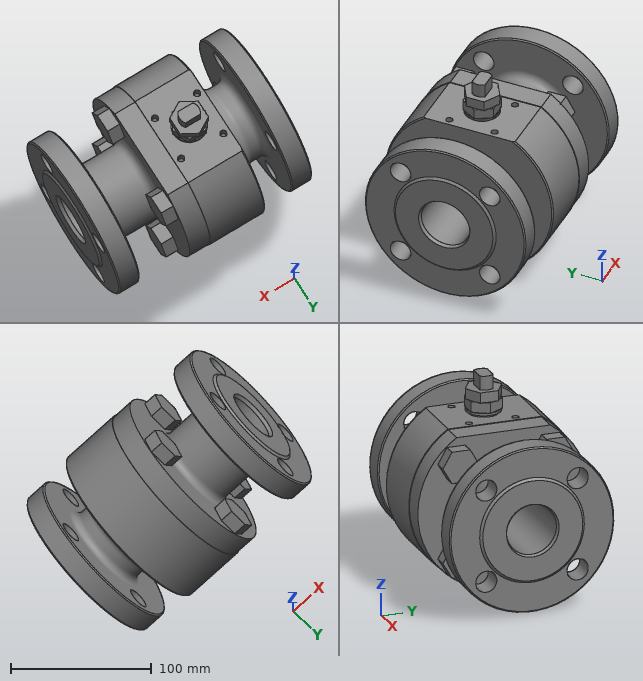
import cadquery as cq
import math


length = 165.0
body_start = 42.9
joint_x = 89.0
cap_end = 106.0

bore_diameter = 38.0
bore_mouth_diameter = 40.0
bore_mouth_depth = 2.8
pipe_diameter = 60.0

flange_diameter = 125.0
flange_thickness = 17.3
flange_chamfer = 1.0
raised_face_height = 1.6
raised_face_base_diameter = 79.5
raised_face_diameter = 75.9
flange_hole_diameter = 16.0
flange_hole_spacing = 69.5
flange_fillet = 5.6
flange_back = raised_face_height + flange_thickness

body_diameter = 131.0
body_chamfer = 1.0
body_flat_height = 55.0
cap_diameter = 130.0
cap_flat_height = 54.5
shoulder_fillet = 6.0

flare_start = 31.2
flare_angle = math.radians(30)

hex_across_flats = 24.0
hex_across_corners = hex_across_flats / math.cos(math.pi / 6)
bolt_spacing = 72.0
bolt_head_height = 10.0

stem_x = 65.8
neck_diameter = 22.0
neck_height = 1.8
washer_diameter = 26.0
washer_height = 1.8
nut_height = 8.0
stem_diameter = 16.0
stem_across_flats = 10.0
stem_top = 85.0

mount_hole_diameter = 5.0
mount_hole_spacing = 35.3
mount_hole_depth = 8.2
drill_point_angle = math.radians(118)


def square_pattern(spacing):
    """Four points at the corners of a square centred on the origin."""
    half = spacing / 2
    return [(-half, -half), (half, -half), (half, half), (-half, half)]


def revolve_about_x(outline):
    """Turn a closed outline in the XZ plane around the flow axis."""
    return outline.close().revolve(360, (0, 0, 0), (1, 0, 0))


def end_flange():
    """Inlet flange with raised face and bolt holes, its face at x = 0."""
    radius = flange_diameter / 2
    flange = revolve_about_x(
        cq.Workplane("XZ")
        .moveTo(0, 0)
        .lineTo(0, raised_face_diameter / 2)
        .lineTo(raised_face_height, raised_face_base_diameter / 2)
        .lineTo(raised_face_height, radius - flange_chamfer)
        .lineTo(raised_face_height + flange_chamfer, radius)
        .lineTo(flange_back - flange_chamfer, radius)
        .lineTo(flange_back, radius - flange_chamfer)
        .lineTo(flange_back, 0)
    )
    holes = (
        cq.Workplane("YZ")
        .pushPoints(square_pattern(flange_hole_spacing))
        .circle(flange_hole_diameter / 2)
        .extrude(flange_back)
    )
    return flange.cut(holes)


def mirror_to_outlet(part):
    """Reflect a part from the inlet end to the outlet end."""
    return part.mirror("YZ").translate((length, 0, 0))


def bore_mouth():
    """Conical widening of the bore at the inlet face."""
    return revolve_about_x(
        cq.Workplane("XZ")
        .moveTo(0, 0)
        .lineTo(0, bore_mouth_diameter / 2)
        .lineTo(bore_mouth_depth, bore_diameter / 2)
        .lineTo(bore_mouth_depth, 0)
    )


def bore():
    """Through passage with a conical mouth at each end."""
    passage = cq.Workplane("YZ").circle(bore_diameter / 2).extrude(length)
    return passage.union(bore_mouth()).union(mirror_to_outlet(bore_mouth()))


def above(height):
    """Block that removes everything higher than the given height."""
    return cq.Workplane("XY").workplane(offset=height).rect(2 * length, length).extrude(length)


def arc_point(center, radius, angle):
    """Point on a circle in the XZ plane."""
    return center[0] + radius * math.cos(angle), center[1] + radius * math.sin(angle)


def inlet_neck():
    """Pipe filleted to the flange, flaring out in a cone to the body face."""
    pipe_radius = pipe_diameter / 2
    bottom = -math.pi / 2
    cone_tangent = bottom + flare_angle

    flange_center = (flange_back + flange_fillet, pipe_radius + flange_fillet)
    bend_center = (flare_start, pipe_radius + shoulder_fillet)
    cone_start = arc_point(bend_center, shoulder_fillet, cone_tangent)

    shoulder_center_x = body_start - shoulder_fillet
    cone_end_x = shoulder_center_x + shoulder_fillet * math.cos(cone_tangent)
    cone_end_z = cone_start[1] + (cone_end_x - cone_start[0]) * math.tan(flare_angle)
    shoulder_center = (shoulder_center_x, cone_end_z - shoulder_fillet * math.sin(cone_tangent))

    return revolve_about_x(
        cq.Workplane("XZ")
        .moveTo(flange_back, 0)
        .lineTo(flange_back, flange_center[1])
        .threePointArc(
            arc_point(flange_center, flange_fillet, -3 * math.pi / 4),
            arc_point(flange_center, flange_fillet, bottom),
        )
        .lineTo(flare_start, pipe_radius)
        .threePointArc(
            arc_point(bend_center, shoulder_fillet, bottom + flare_angle / 2),
            cone_start,
        )
        .lineTo(cone_end_x, cone_end_z)
        .threePointArc(
            arc_point(shoulder_center, shoulder_fillet, cone_tangent / 2),
            arc_point(shoulder_center, shoulder_fillet, 0),
        )
        .lineTo(body_start, 0)
    )


def outlet_neck():
    """Straight pipe filleted to the cap and to the outlet flange."""
    pipe_radius = pipe_diameter / 2
    outlet_back = length - flange_back
    cap_center = (cap_end + shoulder_fillet, pipe_radius + shoulder_fillet)
    flange_center = (outlet_back - flange_fillet, pipe_radius + flange_fillet)
    return revolve_about_x(
        cq.Workplane("XZ")
        .moveTo(cap_end, 0)
        .lineTo(cap_end, cap_center[1])
        .threePointArc(
            arc_point(cap_center, shoulder_fillet, -3 * math.pi / 4),
            arc_point(cap_center, shoulder_fillet, -math.pi / 2),
        )
        .lineTo(flange_center[0], pipe_radius)
        .threePointArc(
            arc_point(flange_center, flange_fillet, -math.pi / 4),
            arc_point(flange_center, flange_fillet, 0),
        )
        .lineTo(outlet_back, 0)
    )


def stem_stack():
    """Neck, washer, two hexagons and the double-flatted stem end."""
    flat_plane = cq.Workplane("XY").workplane(offset=body_flat_height)
    neck = flat_plane.circle(neck_diameter / 2).extrude(neck_height)
    washer = neck.faces(">Z").workplane().circle(washer_diameter / 2).extrude(washer_height)
    lower_nut = washer.faces(">Z").workplane().polygon(6, hex_across_corners).extrude(nut_height)
    upper_nut = (
        lower_nut.faces(">Z").workplane()
        .transformed(rotate=(0, 0, 90))
        .polygon(6, hex_across_corners)
        .extrude(nut_height)
    )
    nut_top = body_flat_height + neck_height + washer_height + 2 * nut_height
    flats = (
        cq.Workplane("XY")
        .workplane(offset=nut_top)
        .rect(stem_diameter, stem_across_flats)
        .extrude(stem_top - nut_top)
    )
    stem_end = (
        cq.Workplane("XY")
        .workplane(offset=nut_top)
        .circle(stem_diameter / 2)
        .extrude(stem_top - nut_top)
        .intersect(flats)
    )
    return upper_nut.union(stem_end).translate((stem_x, 0, 0))


def mount_holes():
    """Four drilled holes with conical bottoms, square around the stem."""
    radius = mount_hole_diameter / 2
    point_length = radius / math.tan(drill_point_angle / 2)
    drill = (
        cq.Workplane("XZ")
        .moveTo(0, 0)
        .lineTo(radius, 0)
        .lineTo(radius, -mount_hole_depth)
        .lineTo(0, -mount_hole_depth - point_length)
        .close()
        .revolve(360, (0, 0, 0), (0, 1, 0))
    )
    holes = cq.Workplane("XY")
    for x, y in square_pattern(mount_hole_spacing):
        holes = holes.add(drill.translate((stem_x + x, y, body_flat_height)))
    return holes.combine()


def valve_body():
    """Inlet flange, flared neck, cylindrical body with top flat, and stem."""
    barrel = (
        cq.Workplane("YZ", origin=(body_start, 0, 0))
        .circle(body_diameter / 2)
        .extrude(joint_x - body_start)
        .faces("<X").edges().chamfer(body_chamfer)
        .cut(above(body_flat_height))
        .cut(mount_holes())
    )
    return barrel.union(inlet_neck()).union(end_flange()).union(stem_stack()).cut(bore())


def end_cap():
    """Bolted cap, outlet pipe and outlet flange."""
    disc = (
        cq.Workplane("YZ", origin=(joint_x, 0, 0))
        .circle(cap_diameter / 2)
        .extrude(cap_end - joint_x)
        .cut(above(cap_flat_height))
    )
    bolt_heads = (
        cq.Workplane("YZ", origin=(cap_end, 0, 0))
        .pushPoints(square_pattern(bolt_spacing))
        .polygon(6, hex_across_corners)
        .extrude(bolt_head_height)
    )
    outlet_flange = mirror_to_outlet(end_flange())
    return disc.union(bolt_heads).union(outlet_neck()).union(outlet_flange).cut(bore())


body = valve_body().solids()
cap = end_cap().solids()

result = cq.Compound.makeCompound([body.val(), cap.val()])